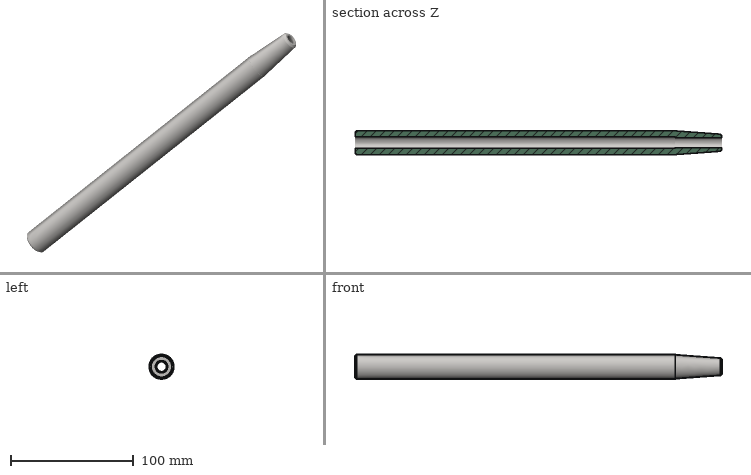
import cadquery as cq

total_length = 300.0
body_length = 261.5
body_diameter = 20.0
body_chamfer = 1.5

taper_root_diameter = 19.8
taper_tip_diameter = 14.5
tip_chamfer = 1.5

bore_diameter = 9.0
mouth_chamfer = 0.45
nose_bore_diameter = 8.0

body_radius = body_diameter / 2
taper_root_radius = taper_root_diameter / 2
taper_tip_radius = taper_tip_diameter / 2
bore_radius = bore_diameter / 2
nose_bore_radius = nose_bore_diameter / 2


def revolve_about_x(profile_points):
    """Solid of revolution from a closed (x, radius) outline."""
    outline = cq.Workplane("XY").polyline(profile_points).close()
    return outline.revolve(360, (0, 0, 0), (1, 0, 0))


outer_shape = revolve_about_x([
    (0, 0),
    (0, body_radius - body_chamfer),
    (body_chamfer, body_radius),
    (body_length, body_radius),
    (body_length, taper_root_radius),
    (total_length - tip_chamfer, taper_tip_radius),
    (total_length, taper_tip_radius - tip_chamfer),
    (total_length, 0),
])

bore = revolve_about_x([
    (0, 0),
    (0, bore_radius + mouth_chamfer),
    (mouth_chamfer, bore_radius),
    (body_length, bore_radius),
    (body_length, nose_bore_radius),
    (total_length, nose_bore_radius),
    (total_length, 0),
])

result = outer_shape.cut(bore)